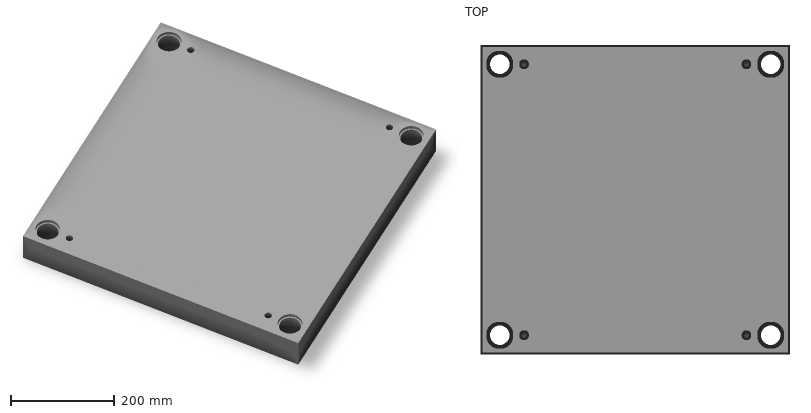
import cadquery as cq
import math

side = 595.5
thickness = 66.0

corner_edge_distance = 36.0
bore_diameter = 42.0
counterbore_diameter = 48.0
counterbore_depth = 7.0

drill_offset = 47.0
drill_diameter = 14.0
drill_depth = 30.0
drill_point_angle = 118.0

corner_spacing = side - 2 * corner_edge_distance
drill_spacing = corner_spacing - 2 * drill_offset


def hole_grid(body, spacing_x):
    """Place four points on the top face, in the rows of the corner holes."""
    top = body.faces(">Z").workplane(origin=(0, 0, 0))
    return top.rect(spacing_x, corner_spacing, forConstruction=True).vertices()


def drill_tool():
    """Drill shape with a conical tip, its flat end at Z = 0."""
    radius = drill_diameter / 2
    tip_length = radius / math.tan(math.radians(drill_point_angle / 2))
    profile = (
        cq.Workplane("XZ")
        .lineTo(radius, 0)
        .lineTo(radius, -drill_depth)
        .lineTo(0, -drill_depth - tip_length)
        .close()
    )
    return profile.revolve(360, (0, 0, 0), (0, 1, 0)).val()


plate = cq.Workplane("XY").box(side, side, thickness)
plate = hole_grid(plate, corner_spacing).cboreHole(bore_diameter, counterbore_diameter, counterbore_depth)

tool = drill_tool()
result = hole_grid(plate, drill_spacing).cutEach(lambda location: tool.moved(location))